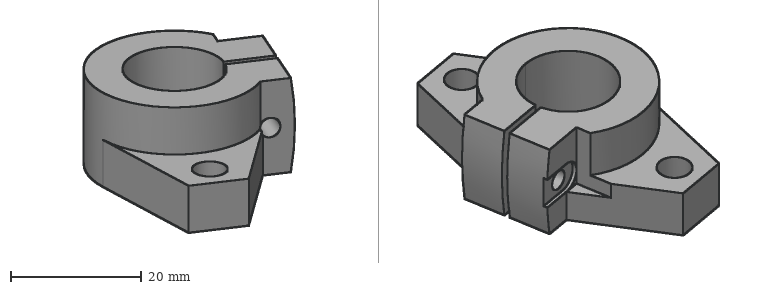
import cadquery as cq
import math

flange_length = 50.0
flange_end_width = 9.6
flange_thickness = 8.0
mount_spacing = 40.0
mount_hole_diameter = 5.5

height = 16.0
ring_diameter = 28.0
bore_diameter = 16.0

lug_width = 16.0
lug_reach = 16.99
lug_corner_reach = 16.33
slit_width = 1.0

screw_diameter = 3.3
screw_y = 13.0
nut_width = 5.3
nut_recess_depth = 0.7
nut_recess_start = 9.15

ring_radius = ring_diameter / 2
mid_height = height / 2


def make_flange():
    """Plate whose slanted sides run tangent to the ring."""
    end_x = flange_length / 2
    end_y = flange_end_width / 2
    tangent_angle = math.atan2(end_y, end_x) + math.acos(ring_radius / math.hypot(end_x, end_y))
    tangent_x = ring_radius * math.cos(tangent_angle)
    tangent_y = ring_radius * math.sin(tangent_angle)
    plate = (
        cq.Workplane("XY")
        .moveTo(end_x, -end_y)
        .lineTo(end_x, end_y)
        .lineTo(tangent_x, tangent_y)
        .lineTo(-tangent_x, tangent_y)
        .lineTo(-end_x, end_y)
        .lineTo(-end_x, -end_y)
        .lineTo(-tangent_x, -tangent_y)
        .lineTo(tangent_x, -tangent_y)
        .close()
        .extrude(flange_thickness)
    )
    mount_holes = (
        cq.Workplane("XY")
        .pushPoints([(-mount_spacing / 2, 0), (mount_spacing / 2, 0)])
        .circle(mount_hole_diameter / 2)
        .extrude(flange_thickness)
    )
    return plate.cut(mount_holes)


def make_ring():
    return cq.Workplane("XY").circle(ring_radius).extrude(height)


def make_lug():
    """Full-height block reaching out from the ring axis toward +Y."""
    return (
        cq.Workplane("YZ")
        .lineTo(lug_corner_reach, 0)
        .threePointArc((lug_reach, mid_height), (lug_corner_reach, height))
        .lineTo(0, height)
        .close()
        .extrude(lug_width / 2, both=True)
    )


def make_bore_and_slit():
    bore = cq.Workplane("XY").circle(bore_diameter / 2).extrude(height)
    slit = cq.Workplane("XY").box(slit_width, lug_reach, height, centered=(True, False, False))
    return bore.union(slit)


def make_screw_hole():
    return (
        cq.Workplane("YZ")
        .center(screw_y, mid_height)
        .circle(screw_diameter / 2)
        .extrude(lug_width, both=True)
    )


def make_nut_clearance():
    """Square-cornered space beside the lug, open to the top, that frees the nut recess."""
    return cq.Workplane("XY").box(
        (flange_length - lug_width) / 2,
        lug_reach - nut_recess_start,
        (height + nut_width) / 2,
        centered=False,
    ).translate((-flange_length / 2, nut_recess_start, mid_height - nut_width / 2))


def make_nut_recess():
    """Shallow round-ended slot in the -X lug face, open at the lug's outer end."""
    half_width = nut_width / 2
    round_y = nut_recess_start + half_width
    return (
        cq.Workplane("YZ", origin=(-lug_width / 2, 0, mid_height))
        .moveTo(lug_reach, half_width)
        .lineTo(round_y, half_width)
        .threePointArc((nut_recess_start, 0), (round_y, -half_width))
        .lineTo(lug_reach, -half_width)
        .close()
        .extrude(nut_recess_depth)
    )


result = (
    make_flange()
    .union(make_ring())
    .union(make_lug())
    .cut(make_nut_clearance())
    .cut(make_nut_recess())
    .cut(make_bore_and_slit())
    .cut(make_screw_hole())
)